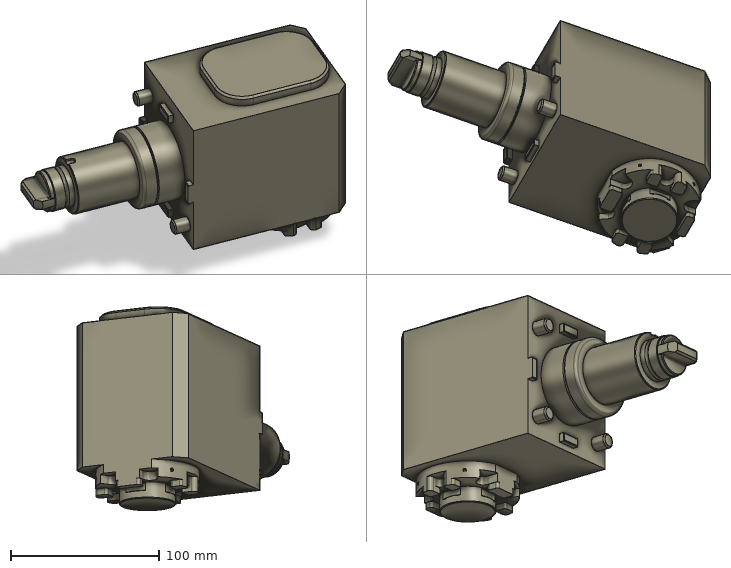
import cadquery as cq
import math


body_width = 84.0
body_length = 115.0
body_top = 53.0
body_bottom = -47.0
rear_corner_chamfer = 8.0

pad_width = 61.5
pad_length = 82.0
pad_height = 7.0
pad_centre_y = 70.0
pad_corner_radius = 20.0
pad_edge_chamfer = 1.5

collar_diameter = 55.0
collar_length = 30.0
collar_fillet = 2.0
seal_groove_diameter = 50.8
seal_groove_start = 18.8
seal_groove_width = 1.3
shank_diameter = 40.0
shank_end = 75.0
shank_chamfer = 0.6
neck_diameter = 29.0
neck_end = 89.5
neck_chamfer = 0.5
neck_groove_centre = 80.3
neck_groove_radius = 1.35
nose_diameter = 28.0
nose_end = 93.0
nose_chamfer = 0.7

tongue_end = 104.0
tongue_thickness = 8.0
tongue_root_fillet = 1.0
tongue_tip_chamfer = 1.4
tongue_taper_start = 98.6
tongue_tip_width = 21.0
tongue_flat_width = 23.0
tongue_side_drop = 0.8

notch_width = 5.0
notch_length = 6.3
notch_depth = 1.5

pin_diameter = 10.0
pin_length = 11.0
pin_chamfer = 1.0
pin_offset = 32.0
key_length = 15.0
key_width = 6.0
key_height = 4.0
key_inner_offset = 36.6
key_chamfer = 0.6

flange_centre_y = 85.0
flange_radius = 35.0
flange_depth = 12.0
flange_front_flat = 33.0
flange_rear_flat = body_length - flange_centre_y
screw_slot_count = 6
screw_slot_radius = 5.0
screw_circle_radius = 28.4
screw_slot_depth = 6.0
pin_hole_diameter = 2.1
pin_hole_angle = 35.0
pin_hole_drop = 6.4
pin_hole_depth = 2.0

lug_depth = 16.4
lug_inner_offset = 23.7
lug_corner_radius = 2.0
side_lug_width = 27.0
end_lug_width = 18.0
slot_mouth_radius = 3.25

nut_diameter = 38.0
nut_flats_start = 12.6
nut_flats_end = 17.8
nut_across_flats = 35.0
nut_end = 23.2
nut_chamfer = 0.6


def disc_y(diameter, start, end):
    """Cylinder on the Y axis between two forward distances from the body front face."""
    return cq.Workplane("XZ").workplane(offset=start).circle(diameter / 2).extrude(end - start)


def block_down(width, length, start, end):
    """Block on the flange axis between two depths below the body bottom face."""
    plane = cq.Workplane("XY", origin=(0, flange_centre_y, body_bottom - end))
    return plane.rect(width, length).extrude(end - start)


def disc_down(diameter, start, end):
    """Cylinder on the flange axis between two depths below the body bottom face."""
    plane = cq.Workplane("XY", origin=(0, flange_centre_y, body_bottom - end))
    return plane.circle(diameter / 2).extrude(end - start)


def make_body():
    height = body_top - body_bottom
    block = cq.Workplane("XY", origin=(0, body_length / 2, body_bottom + height / 2))
    return block.box(body_width, body_length, height).edges("|Z and >Y").chamfer(rear_corner_chamfer)


def make_pad():
    pad = cq.Workplane("XY", origin=(0, pad_centre_y, body_top))
    pad = pad.rect(pad_width, pad_length).extrude(pad_height)
    return pad.edges("|Z").fillet(pad_corner_radius).faces(">Z").edges().chamfer(pad_edge_chamfer)


def make_tongue():
    half_width = neck_diameter / 2
    outline = [
        (-half_width, -neck_end),
        (-half_width, -tongue_taper_start),
        (-tongue_tip_width / 2, -tongue_end),
        (tongue_tip_width / 2, -tongue_end),
        (half_width, -tongue_taper_start),
        (half_width, -neck_end),
    ]
    half_thickness = tongue_thickness / 2
    plate = cq.Workplane("XY", origin=(0, 0, -half_thickness)).polyline(outline).close()
    plate = plate.extrude(tongue_thickness)
    plate = plate.faces("<Y").edges("|X").chamfer(tongue_tip_chamfer)

    side_height = half_thickness - tongue_side_drop
    flat = tongue_flat_width / 2
    section = [
        (-half_width, -side_height),
        (-flat, -half_thickness),
        (flat, -half_thickness),
        (half_width, -side_height),
        (half_width, side_height),
        (flat, half_thickness),
        (-flat, half_thickness),
        (-half_width, side_height),
    ]
    envelope = cq.Workplane("XZ").polyline(section).close().extrude(tongue_end)
    tongue = plate.intersect(envelope).intersect(disc_y(neck_diameter, 0, tongue_end))
    return tongue.union(make_tongue_root())


def make_tongue_root():
    """Concave fillets between the nose face and both wide faces of the tongue."""
    half_thickness = tongue_thickness / 2
    radius = tongue_root_fillet
    middle = radius * (1 - math.sqrt(0.5))
    root = cq.Workplane("YZ", origin=(-nose_diameter / 2, 0, 0)).moveTo(-nose_end, 0)
    root = root.lineTo(-nose_end, half_thickness + radius)
    root = root.threePointArc(
        (-nose_end - middle, half_thickness + middle),
        (-nose_end - radius, half_thickness),
    )
    root = root.lineTo(-nose_end - radius, 0).close().extrude(nose_diameter)
    root = root.union(root.mirror("XY"))
    limit = disc_y(nose_diameter - 2 * nose_chamfer, nose_end, nose_end + radius)
    return root.intersect(limit)


def make_notch():
    """Flat-bottomed notch, open at the shank end and closed by a half round."""
    radius = notch_width / 2
    centre_y = notch_length - radius - shank_end
    plane = cq.Workplane("XY", origin=(0, centre_y, shank_diameter / 2 - notch_depth))
    notch = plane.circle(radius).extrude(2 * notch_depth)
    channel = plane.center(0, -notch_length / 2).rect(notch_width, notch_length).extrude(2 * notch_depth)
    return notch.union(channel)


def make_shank():
    collar = disc_y(collar_diameter, 0, collar_length).faces("<Y").edges().fillet(collar_fillet)
    groove_end = seal_groove_start + seal_groove_width
    groove = disc_y(collar_diameter, seal_groove_start, groove_end)
    groove = groove.cut(disc_y(seal_groove_diameter, seal_groove_start, groove_end))
    collar = collar.cut(groove)

    shank = disc_y(shank_diameter, 0, shank_end).faces("<Y").edges().chamfer(shank_chamfer)
    shank = shank.cut(make_notch())

    neck = disc_y(neck_diameter, 0, neck_end).faces("<Y").edges().chamfer(neck_chamfer)
    round_groove = cq.Workplane("XY").center(neck_diameter / 2, -neck_groove_centre)
    round_groove = round_groove.circle(neck_groove_radius)
    round_groove = round_groove.revolve(360, (-neck_diameter / 2, 0), (-neck_diameter / 2, 1))
    neck = neck.cut(round_groove)

    nose = disc_y(nose_diameter, neck_end, nose_end).faces("<Y").edges().chamfer(nose_chamfer)
    return collar.union(shank).union(neck).union(nose).union(make_tongue())


def make_pins():
    """Three pins; the upper corner on the +X side has none."""
    centres = [(-pin_offset, pin_offset), (-pin_offset, -pin_offset), (pin_offset, -pin_offset)]
    pins = cq.Workplane("XZ").pushPoints(centres).circle(pin_diameter / 2).extrude(pin_length)
    return pins.faces("<Y").edges().chamfer(pin_chamfer)


def make_keys():
    """Four keys around the shank; the two side keys end flush with the body sides."""
    keys = cq.Workplane("XY")
    for angle in (0, 90, 180, 270):
        key = cq.Workplane("XZ").center(0, key_inner_offset + key_width / 2)
        key = key.rect(key_length, key_width).extrude(key_height)
        key = key.faces("<Y").edges().chamfer(key_chamfer)
        keys = keys.union(key.rotate((0, 0, 0), (0, 1, 0), angle))
    limit = cq.Workplane("XY").box(body_width, 2 * body_length, body_top - body_bottom)
    return keys.intersect(limit)


def make_end_lug(flat_distance, side):
    """Narrow lug that reaches the front flat (side -1) or the rear flat (side 1) of the flange."""
    length = flat_distance - lug_inner_offset
    lug = block_down(end_lug_width, length, flange_depth, lug_depth).edges("|Z").fillet(lug_corner_radius)
    return lug.translate((0, side * (lug_inner_offset + length / 2), 0))


def make_side_lug():
    """Wide lug on the +X side, with its outer face on the flange rim."""
    length = flange_radius - lug_inner_offset
    lug = block_down(length, side_lug_width, flange_depth, lug_depth)
    lug = lug.translate((lug_inner_offset + length / 2, 0, 0))
    lug = lug.intersect(disc_down(2 * flange_radius, flange_depth, lug_depth))
    return lug.edges("|Z").fillet(lug_corner_radius)


def make_lugs():
    side_lug = make_side_lug()
    lugs = side_lug.union(side_lug.mirror("YZ"))
    lugs = lugs.union(make_end_lug(flange_front_flat, -1))
    return lugs.union(make_end_lug(flange_rear_flat, 1))


def make_screw_slot(angle):
    """Radial slot, closed by a half round inside and open at the flange rim."""
    height = lug_depth - screw_slot_depth
    width = 2 * screw_slot_radius
    centre_x = screw_circle_radius * math.cos(math.radians(angle))
    centre_y = screw_circle_radius * math.sin(math.radians(angle))
    plane = cq.Workplane("XY", origin=(0, 0, body_bottom - lug_depth))
    slot = plane.center(screw_circle_radius, 0).circle(screw_slot_radius).extrude(height)
    channel = plane.center(screw_circle_radius + flange_radius / 2, 0)
    channel = channel.rect(flange_radius, width).extrude(height)
    slot = slot.union(channel).rotate((0, 0, 0), (0, 0, 1), angle)

    if angle % 180 == 0:
        passage = plane.center(centre_x, 0).rect(flange_radius, width).extrude(lug_depth - flange_depth)
        slot = slot.union(passage)
    else:
        opening_y = centre_y + math.copysign(flange_radius / 2, centre_y)
        opening = plane.center(centre_x, opening_y).rect(width, flange_radius).extrude(height)
        slot = slot.union(opening)
    return slot.translate((0, flange_centre_y, 0))


def make_slot_mouth():
    """Rounded widening of the slot on the +X side where it meets the rim."""
    half_mouth = screw_slot_radius + slot_mouth_radius
    rim = math.sqrt(flange_radius**2 - half_mouth**2)
    inner = rim - slot_mouth_radius
    bulge = slot_mouth_radius * math.sqrt(0.5)
    mouth = cq.Workplane("XY", origin=(0, flange_centre_y, body_bottom - lug_depth))
    mouth = mouth.moveTo(inner, -screw_slot_radius)
    mouth = mouth.threePointArc((inner + bulge, -half_mouth + bulge), (rim, -half_mouth))
    mouth = mouth.lineTo(flange_radius, -half_mouth).lineTo(flange_radius, half_mouth)
    mouth = mouth.lineTo(rim, half_mouth)
    mouth = mouth.threePointArc((inner + bulge, half_mouth - bulge), (inner, screw_slot_radius))
    return mouth.close().extrude(lug_depth - screw_slot_depth)


def make_pin_holes():
    """Four small radial holes in the flange rim."""
    holes = cq.Workplane("XY")
    for angle in (pin_hole_angle, 180 - pin_hole_angle, 180 + pin_hole_angle, -pin_hole_angle):
        hole = cq.Workplane("YZ", origin=(flange_radius - pin_hole_depth, 0, body_bottom - pin_hole_drop))
        hole = hole.circle(pin_hole_diameter / 2).extrude(2 * pin_hole_depth)
        hole = hole.rotate((0, 0, 0), (0, 0, 1), angle).translate((0, flange_centre_y, 0))
        holes = holes.union(hole)
    return holes


def make_flange():
    flange = disc_down(2 * flange_radius, 0, flange_depth).union(make_lugs())
    flat_span = flange_front_flat + flange_rear_flat
    between_flats = block_down(2 * flange_radius, flat_span, 0, lug_depth)
    between_flats = between_flats.translate((0, (flange_rear_flat - flange_front_flat) / 2, 0))
    flange = flange.intersect(between_flats)

    for index in range(screw_slot_count):
        flange = flange.cut(make_screw_slot(index * 360 / screw_slot_count))
    mouth = make_slot_mouth()
    return flange.cut(mouth).cut(mouth.mirror("YZ")).cut(make_pin_holes())


def make_nut():
    """Round nut with four spanner flats."""
    nut = disc_down(nut_diameter, 0, nut_end).faces("<Z").edges().chamfer(nut_chamfer)
    flats = disc_down(nut_diameter, nut_flats_start, nut_flats_end)
    flats = flats.cut(block_down(nut_across_flats, nut_across_flats, nut_flats_start, nut_flats_end))
    return nut.cut(flats)


result = make_body()
for feature in (make_pad(), make_shank(), make_pins(), make_keys(), make_flange(), make_nut()):
    result = result.union(feature)